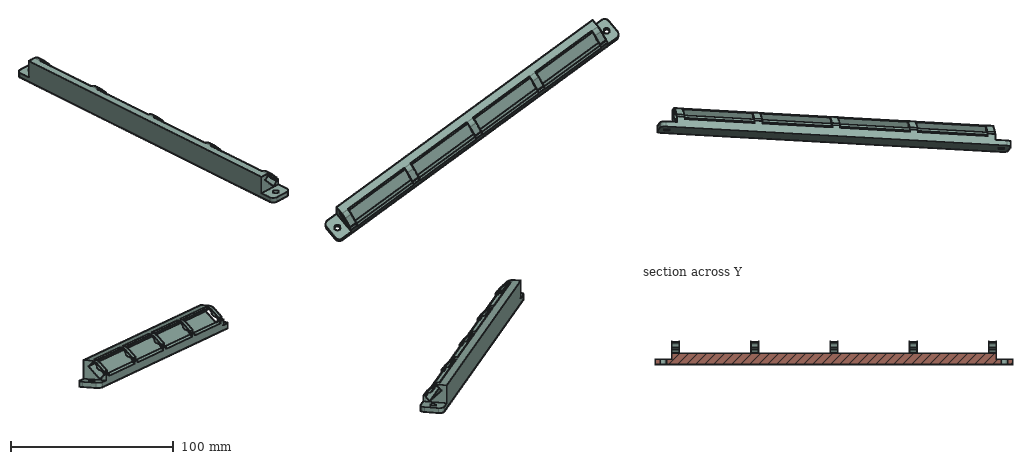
import cadquery as cq
import math

length = 220.0
depth = 15.0
height = 15.0

base_height = 3.3
corner_radius = 3.0
hole_diameter = 3.7
tab_length = 10.1

body_length = length - 2 * tab_length
slope_top_y = 5.3
channel_rise = 2.9
lower_lip_width = 1.3
upper_lip_width = 0.9

bridge_count = 5
bridge_width = 4.8
bridge_slope_sum = 22.2
bridge_bend_y = 8.5
bridge_bend_mid = (7.0, 14.5)
foot_top_z = 7.3
foot_back_z = 6.8

underside_offset = -0.5
lobe_height = 0.95
lobe_inner_end = 1.0

slope_sum = slope_top_y + height
slope_bottom_z = slope_sum - depth
lower_lip = (depth - lower_lip_width, slope_bottom_z + lower_lip_width)
upper_lip = (slope_top_y + upper_lip_width, height - upper_lip_width)
lobe_outer_end = (lower_lip[0] - upper_lip[0]) / math.sqrt(2)
slope_middle_y = (lower_lip[0] + upper_lip[0]) / 2


def slope_point(along, above):
    """YZ point at a distance down the slope and a distance square above it."""
    y = slope_middle_y + (along + above) / math.sqrt(2)
    z = slope_sum - slope_middle_y + (above - along) / math.sqrt(2)
    return y, z


def extrude_along_x(profile, x_center, width):
    """Extrude a YZ profile symmetrically about x_center."""
    return profile.extrude(width / 2, both=True).translate((x_center, 0, 0))


def make_base():
    plate = cq.Workplane("XY").box(length, depth, base_height, centered=(True, False, False))
    plate = plate.edges("|Z").fillet(corner_radius)
    hole_x = (length - tab_length) / 2
    return (
        plate.faces(">Z").workplane(origin=(0, depth / 2, base_height))
        .pushPoints([(-hole_x, 0), (hole_x, 0)])
        .hole(hole_diameter)
    )


def make_body():
    profile = (
        cq.Workplane("YZ")
        .polyline([
            (0, 0),
            (depth, 0),
            (depth, slope_bottom_z),
            lower_lip,
            (lower_lip[0] - channel_rise, lower_lip[1] - channel_rise),
            (upper_lip[0] - channel_rise, upper_lip[1] - channel_rise),
            upper_lip,
            (slope_top_y, height),
            (0, height),
        ])
        .close()
    )
    return extrude_along_x(profile, 0, body_length)


def make_bridge(x_center):
    """Rounded bridge over the channel, with a two-lobed underside."""
    lobe_middle = (lobe_inner_end + lobe_outer_end) / 2
    low = underside_offset
    peak = underside_offset + lobe_height
    foot_y = lower_lip[0]
    profile = (
        cq.Workplane("YZ")
        .moveTo(slope_top_y, height)
        .threePointArc(bridge_bend_mid, (bridge_bend_y, bridge_slope_sum - bridge_bend_y))
        .lineTo(foot_y, bridge_slope_sum - foot_y)
        .lineTo(foot_y, foot_top_z)
        .lineTo(depth, foot_back_z)
        .lineTo(depth, slope_bottom_z)
        .lineTo(*lower_lip)
        .lineTo(*slope_point(lobe_outer_end, low))
        .threePointArc(slope_point(lobe_middle, peak), slope_point(lobe_inner_end, low))
        .lineTo(*slope_point(-lobe_inner_end, low))
        .threePointArc(slope_point(-lobe_middle, peak), slope_point(-lobe_outer_end, low))
        .lineTo(*upper_lip)
        .close()
    )
    return extrude_along_x(profile, x_center, bridge_width)


result = make_base().union(make_body())
bridge_pitch = (body_length - bridge_width) / (bridge_count - 1)
for index in range(bridge_count):
    bridge_x = (index - (bridge_count - 1) / 2) * bridge_pitch
    result = result.union(make_bridge(bridge_x))

result = result.translate((0, -depth / 2, 0))